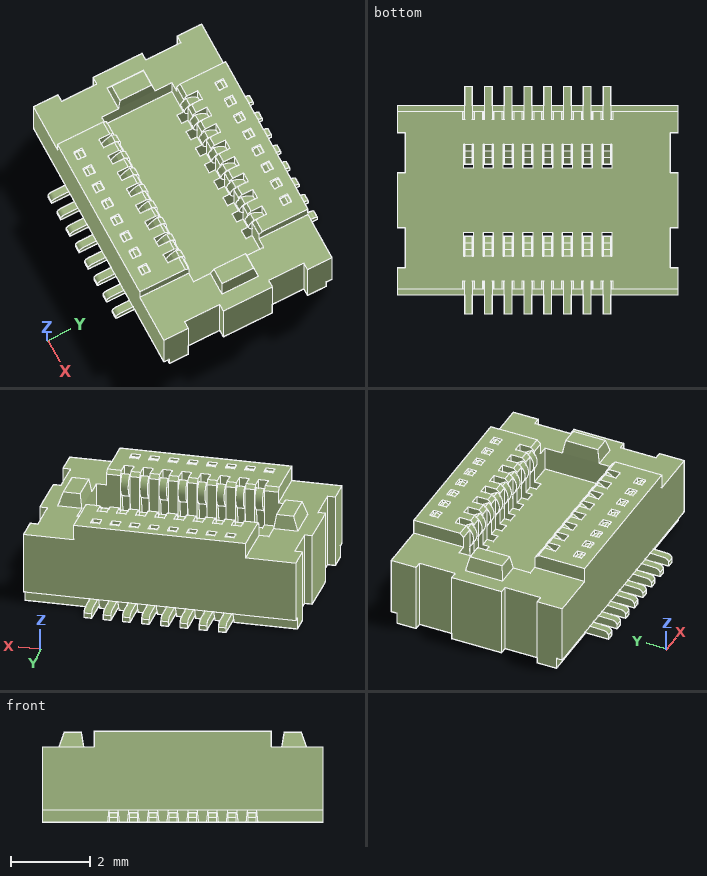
import cadquery as cq

BODY_LENGTH = 7.1
BODY_WIDTH = 4.8
DECK_HEIGHT = 1.91
TOTAL_HEIGHT = 2.31
SIDE_STEP_HEIGHT = 0.31
SIDE_STEP_DEPTH = 0.16
NOTCH_DEPTH = 0.2
NOTCH_WIDTH = 1.0
NOTCH_CENTER_Y = 1.2

BANK_LENGTH = 4.48
BANK_CHAMFER = 0.1
POCKET_LENGTH = 5.0
POCKET_WIDTH = 2.0
POCKET_FLOOR = 1.26

PEG_HEIGHT = 2.28
PEG_BASE_INNER_X = POCKET_LENGTH / 2
PEG_BASE_OUTER_X = 3.13
PEG_TOP_INNER_X = 2.56
PEG_TOP_OUTER_X = 3.0
PEG_BASE_WIDTH = 1.04
PEG_TOP_WIDTH = 0.9

CONTACT_COUNT = 8
CONTACT_PITCH = 0.5
CONTACT_WIDTH = 0.2
CAVITY_WIDTH = 0.25

CAVITY_INNER_Y = 0.82
CAVITY_OUTER_Y = 1.41

SPRING_ROOT_BOTTOM = 0.5
SPRING_LEG_BOTTOM = (1.25, 0.7)
SPRING_BULGE_START = (1.08, 1.62)
SPRING_BULGE_POINT = (0.91, 1.95)
SPRING_TIP = (1.065, 2.24)
SPRING_TIP_BACK = (1.205, 2.15)
SPRING_BACK_MIDDLE = (1.34, 1.98)
SPRING_ROOT_TOP = 1.75

HOLE_INNER_Y = 1.9
HOLE_OUTER_Y = 2.13
HOLE_WIDTH = 0.23
HOLE_DEPTH = 0.5
CREST_Y = 2.04
CREST_HEIGHT = TOTAL_HEIGHT - 0.03
CREST_INNER_DROP = 0.15
CREST_OUTER_DROP = 0.08
CREST_ARC_SAG = 0.025
EMBED = 0.05

FOOT_TIP_Y = 2.88
FOOT_TIP_HEIGHT = 0.13
FOOT_TIP_ARC_POINT = (2.83, 0.205)
FOOT_BEND_Y = 2.73
FOOT_BEND_HEIGHT = 0.235
FOOT_ROOT_HEIGHT = 0.25
FOOT_SLOT_DEPTH = 0.2
FOOT_SLOT_TOP_WIDTH = 0.23
FOOT_SLOT_BOTTOM_WIDTH = 0.3

STEP_WALL_Y = BODY_WIDTH / 2 - SIDE_STEP_DEPTH
SLOT_END_Y = STEP_WALL_Y - FOOT_SLOT_DEPTH


def block(length, width, bottom, top, center_x=0, center_y=0):
    """Upright box given its plan size, plan centre and Z range."""
    height = top - bottom
    base = cq.Workplane("XY").box(length, width, height, centered=(True, True, False))
    return base.translate((center_x, center_y, bottom))


def across_x(profile, width):
    """Extrude a YZ profile symmetrically about the plane X = 0."""
    return profile.extrude(width / 2, both=True)


def make_housing():
    housing = block(BODY_LENGTH, BODY_WIDTH, 0, DECK_HEIGHT)
    for side in (-1, 1):
        step_y = side * (BODY_WIDTH - SIDE_STEP_DEPTH) / 2
        housing = housing.cut(block(BODY_LENGTH, SIDE_STEP_DEPTH, 0, SIDE_STEP_HEIGHT, center_y=step_y))
        for end in (-1, 1):
            notch_x = end * (BODY_LENGTH - NOTCH_DEPTH) / 2
            notch_y = side * NOTCH_CENTER_Y
            housing = housing.cut(block(NOTCH_DEPTH, NOTCH_WIDTH, 0, DECK_HEIGHT, notch_x, notch_y))
    return housing.cut(block(POCKET_LENGTH, POCKET_WIDTH, POCKET_FLOOR, DECK_HEIGHT))


def make_bank():
    """Raised bank on the +Y side, chamfered along the pocket."""
    inner_y = POCKET_WIDTH / 2
    outer_y = BODY_WIDTH / 2
    profile = cq.Workplane("YZ").polyline([
        (inner_y, DECK_HEIGHT),
        (outer_y, DECK_HEIGHT),
        (outer_y, TOTAL_HEIGHT),
        (inner_y + BANK_CHAMFER, TOTAL_HEIGHT),
        (inner_y, TOTAL_HEIGHT - BANK_CHAMFER),
    ]).close()
    return across_x(profile, BANK_LENGTH)


def make_peg():
    """Tapered peg at the +X end of the pocket."""
    base_length = PEG_BASE_OUTER_X - PEG_BASE_INNER_X
    base_x = (PEG_BASE_OUTER_X + PEG_BASE_INNER_X) / 2
    top_length = PEG_TOP_OUTER_X - PEG_TOP_INNER_X
    top_x = (PEG_TOP_OUTER_X + PEG_TOP_INNER_X) / 2
    return (
        cq.Workplane("XY", origin=(base_x, 0, DECK_HEIGHT))
        .rect(base_length, PEG_BASE_WIDTH)
        .workplane(offset=PEG_HEIGHT - DECK_HEIGHT)
        .center(top_x - base_x, 0)
        .rect(top_length, PEG_TOP_WIDTH)
        .loft(ruled=True)
    )


def make_contact_openings():
    """Cavity, small hole and foot slot for one +Y contact at X = 0."""
    cavity_y = (CAVITY_INNER_Y + CAVITY_OUTER_Y) / 2
    cavity = block(CAVITY_WIDTH, CAVITY_OUTER_Y - CAVITY_INNER_Y, 0, TOTAL_HEIGHT, center_y=cavity_y)
    hole_y = (HOLE_INNER_Y + HOLE_OUTER_Y) / 2
    hole_bottom = TOTAL_HEIGHT - HOLE_DEPTH
    hole = block(HOLE_WIDTH, HOLE_OUTER_Y - HOLE_INNER_Y, hole_bottom, TOTAL_HEIGHT, center_y=hole_y)
    slot = (
        cq.Workplane("XZ", origin=(0, STEP_WALL_Y, 0))
        .polyline([
            (-FOOT_SLOT_BOTTOM_WIDTH / 2, 0),
            (FOOT_SLOT_BOTTOM_WIDTH / 2, 0),
            (FOOT_SLOT_TOP_WIDTH / 2, SIDE_STEP_HEIGHT),
            (-FOOT_SLOT_TOP_WIDTH / 2, SIDE_STEP_HEIGHT),
        ])
        .close()
        .extrude(FOOT_SLOT_DEPTH)
    )
    return cavity.union(hole).union(slot)


def make_spring():
    """Bowed spring end: rises from the cavity's outer wall and bulges into the pocket."""
    root_y = CAVITY_OUTER_Y + EMBED
    profile = (
        cq.Workplane("YZ")
        .moveTo(root_y, SPRING_ROOT_BOTTOM)
        .lineTo(*SPRING_LEG_BOTTOM)
        .lineTo(*SPRING_BULGE_START)
        .threePointArc(SPRING_BULGE_POINT, SPRING_TIP)
        .lineTo(*SPRING_TIP_BACK)
        .threePointArc(SPRING_BACK_MIDDLE, (root_y, SPRING_ROOT_TOP))
        .close()
    )
    return across_x(profile, CONTACT_WIDTH)


def make_crest():
    """Sloped and rounded top of the retaining end, standing in the small hole."""
    inner_y = HOLE_INNER_Y - EMBED
    outer_y = HOLE_OUTER_Y + EMBED
    bottom = TOTAL_HEIGHT - HOLE_DEPTH - EMBED
    middle_y = (inner_y + CREST_Y) / 2
    middle_height = CREST_HEIGHT - CREST_INNER_DROP / 2 + CREST_ARC_SAG
    profile = (
        cq.Workplane("YZ")
        .moveTo(inner_y, bottom)
        .lineTo(outer_y, bottom)
        .lineTo(outer_y, CREST_HEIGHT - CREST_OUTER_DROP)
        .lineTo(CREST_Y, CREST_HEIGHT)
        .threePointArc((middle_y, middle_height), (inner_y, CREST_HEIGHT - CREST_INNER_DROP))
        .close()
    )
    return across_x(profile, CONTACT_WIDTH)


def make_foot():
    """Solder foot with a rounded tip, rooted in the end of its slot."""
    root_y = SLOT_END_Y - EMBED
    profile = (
        cq.Workplane("YZ")
        .moveTo(root_y, 0)
        .lineTo(FOOT_TIP_Y, 0)
        .lineTo(FOOT_TIP_Y, FOOT_TIP_HEIGHT)
        .threePointArc(FOOT_TIP_ARC_POINT, (FOOT_BEND_Y, FOOT_BEND_HEIGHT))
        .lineTo(STEP_WALL_Y, FOOT_ROOT_HEIGHT)
        .lineTo(root_y, FOOT_ROOT_HEIGHT)
        .close()
    )
    return across_x(profile, CONTACT_WIDTH)


def both_rows(feature):
    """Repeat a +Y feature at X = 0 along the pitch and mirror it to the -Y row."""
    first_x = -CONTACT_PITCH * (CONTACT_COUNT - 1) / 2
    row = cq.Workplane("XY")
    for index in range(CONTACT_COUNT):
        row = row.add(feature.translate((first_x + index * CONTACT_PITCH, 0, 0)))
    row = row.combine()
    return row.add(row.mirror("XZ")).combine()


bank = make_bank()
peg = make_peg()

result = make_housing().union(bank).union(bank.mirror("XZ"))
result = result.union(peg).union(peg.mirror("YZ"))
result = result.cut(both_rows(make_contact_openings()))
for contact_part in (make_spring(), make_crest(), make_foot()):
    result = result.union(both_rows(contact_part))